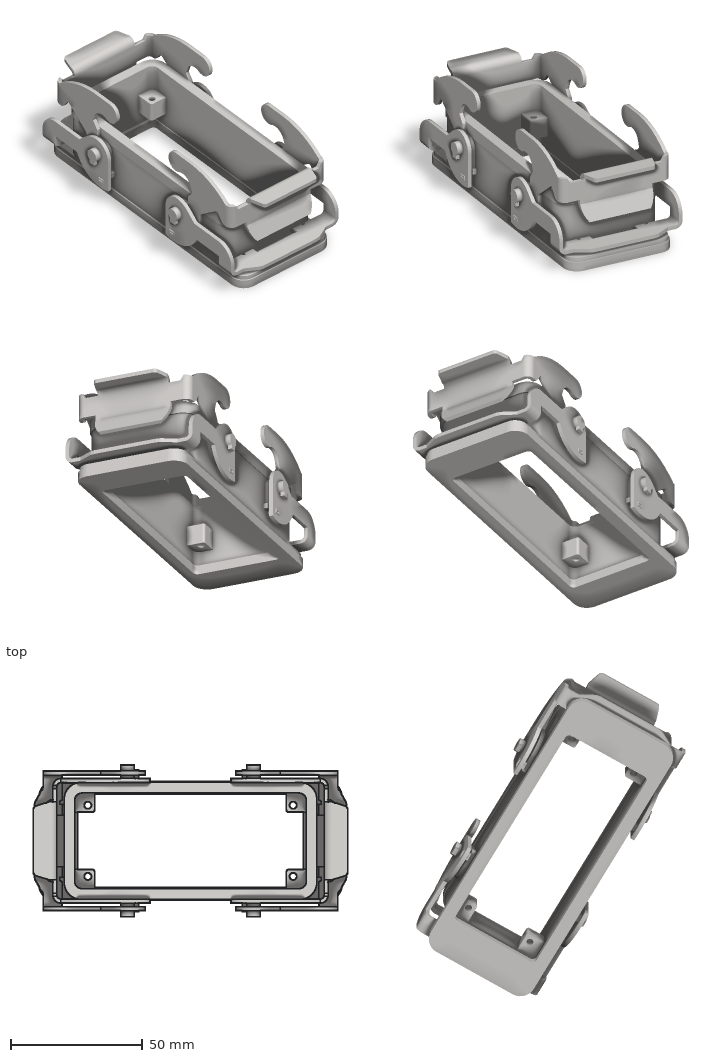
import cadquery as cq
import math

BASE_LENGTH, BASE_WIDTH, BASE_TOP, BASE_RADIUS = 115.4, 45.3, 3.7, 5.9
STEP_LENGTH, STEP_TOP, STEP_RADIUS = 114.2, 5.4, 5.2
BODY_LENGTH, BODY_WIDTH, BODY_RADIUS = 94.5, 44.0, 6.0
RIM_LENGTH, RIM_WIDTH, RIM_RADIUS = 96.2, 44.6, 6.4
RIM_BOTTOM, RIM_TOP = 24.1, 28.9
CAVITY_LENGTH, CAVITY_WIDTH, CAVITY_RADIUS = 88.3, 36.5, 2.9
FLOOR_LENGTH, FLOOR_WIDTH, FLOOR_RADIUS = 85.9, 35.5, 1.8

BLOCK_BOTTOM, BLOCK_TOP = 9.7, 17.6
BLOCK_INNER_X, BLOCK_INNER_Y, BLOCK_RADIUS = 36.5, 10.9, 1.0
BLOCK_EMBED = 0.6
SCREW_X, SCREW_Y, SCREW_DIAMETER = 39.1, 13.5, 2.6

SHEET = 1.5
BEND_RADIUS = 3.0
HOOK_OUTER_Y = 23.8
BAIL_OUTER_Y = 26.6
BAIL_INNER_Y = BAIL_OUTER_Y - SHEET

PIN_X, PIN_Z, PIN_DIAMETER = -24.0, 20.2, 5.3
PIN_END_Y = 58.0 / 2
KEY_WIDTH, KEY_BOTTOM = 2.6, 16.2

PANEL_X = -52.4
PANEL_INNER_X = PANEL_X + SHEET
PANEL_BOTTOM, PANEL_TOP, PANEL_CORNER_TOP = 27.4, 35.4, 37.4
PANEL_EDGE_Y, PANEL_SHOULDER_Y = 21.1, 19.9
HOOK_START_X = PANEL_X + BEND_RADIUS
HOOK_TOP = 45.0
BACK_MID, BACK_END_X = (-40.3, 42.7), -28.8
TIP_X, TIP_RADIUS = -19.7, 4.3
THROAT_START, THROAT_MID, THROAT_END = (-21.1, 36.6), (-25.4, 37.2), (-28.7, 34.0)
THROAT_CORNER = (-29.5, 31.5)
NECK_TOP = 28.2
NECK_X, SHANK_X = -27.0, -33.5
HUB_RADIUS = 4.1
HUB_EDGE_X = PIN_X + HUB_RADIUS
FOOT_X, FOOT_BOTTOM, FOOT_TOP = -18.5, 10.3, 12.4
HEEL_X, HEEL_MID = -25.8, (-31.5, 13.9)
SHANK_TOP, SHANK_CHAMFER = 23.2, 1.1
NOTCH_X, NOTCH_TOP, NOTCH_SIDE_Z, NOTCH_HALF_WIDTH = -44.1, 31.4, 31.2, 0.54
NOTCH_FOOT, NOTCH_FOOT_X = (-47.3, 27.8), -48.2
HANDLE_END_X, HANDLE_TOP = -60.0, 38.6
HANDLE_END_Y, HANDLE_ROOT_Y = 13.0, 14.9
HANDLE_CORNER_RADIUS = 1.5
LIP_TOP, LIP_KNEE, LIP_BOTTOM = 27.6, 25.4, 18.0
LIP_END_X, LIP_INNER_END_X, LIP_EDGE_RISE = -55.7, -54.3, 0.7
LIP_ROOT_Y, LIP_END_Y = 15.7, 12.6
LIP_SIDE_Y, LIP_SIDE_Z = 14.3, 20.2

ARM_OUTER_X, ARM_INNER_X = -56.1, -49.0
ARM_BOTTOM, ARM_TOP = 14.0, 21.0
ARM_BEND_RADIUS = 7.7
HEAD_RADIUS = 6.8
HEAD_ROOT_X, HEAD_RISE, HEAD_SHOULDER = -34.2, (-30.5, 24.2), (-27.6, 26.2)
HEAD_CORNER_Z, HEAD_BELLY, BELLY_END_X = 6.0, (-27.5, 6.4), -35.6
HEAD_EDGE_X = PIN_X + HEAD_RADIUS
BAIL_PLATE_BOTTOM = 7.8
BAIL_PLATE_TOP = BAIL_PLATE_BOTTOM + SHEET
BAIL_PLATE_END_X = -59.6
BRIDGE_SIDE_Y, BRIDGE_CORNER, BRIDGE_END_Y = 20.4, (-59.3, 14.8), 13.0
RECESS_X = -51.6
TAB_INNER_Y, TAB_OUTER_Y, TAB_BOTTOM = 9.8, 13.9, 6.8
TAB_THICKNESS = 1.1
RELIEF_DEPTH, RELIEF_WIDTH, RELIEF_MOUTH = 1.0, 1.1, 1.7
STOP_X, STOP_Z = -21.1, 9.0
STOP_LENGTH, STOP_HEIGHT, STOP_WALL, STOP_PROUD = 2.9, 1.7, 0.5, 0.4


def rounded_box(length, width, radius, bottom, top):
    """Upright box centred on Z with rounded vertical edges."""
    box = cq.Workplane("XY").workplane(offset=bottom).rect(length, width).extrude(top - bottom)
    return box.edges("|Z").fillet(radius)


def block(x_range, y_range, z_range):
    """Box given by its limits along each axis."""
    sizes = [high - low for low, high in (x_range, y_range, z_range)]
    return cq.Workplane("XY").box(*sizes, centered=False).translate((x_range[0], y_range[0], z_range[0]))


def both_sides(shape):
    """Shape joined with its copy mirrored across the XZ plane."""
    return shape.union(shape.mirror("XZ"))


def side_sheet(outline, outer_y):
    """Extrude an XZ outline into one sheet whose outer face is at -outer_y."""
    return outline.extrude(SHEET).translate((0, SHEET - outer_y, 0))


def make_housing():
    """Stepped frame with an open cavity, a narrow floor ledge and four screw blocks."""
    housing = rounded_box(BASE_LENGTH, BASE_WIDTH, BASE_RADIUS, 0, BASE_TOP)
    housing = housing.union(rounded_box(STEP_LENGTH, BODY_WIDTH, STEP_RADIUS, BASE_TOP, STEP_TOP))
    housing = housing.union(rounded_box(BODY_LENGTH, BODY_WIDTH, BODY_RADIUS, STEP_TOP, RIM_BOTTOM))
    housing = housing.union(rounded_box(RIM_LENGTH, RIM_WIDTH, RIM_RADIUS, RIM_BOTTOM, RIM_TOP))
    housing = housing.cut(rounded_box(CAVITY_LENGTH, CAVITY_WIDTH, CAVITY_RADIUS, BASE_TOP, RIM_TOP))
    housing = housing.cut(rounded_box(FLOOR_LENGTH, FLOOR_WIDTH, FLOOR_RADIUS, 0, BASE_TOP))

    block_outer_x = CAVITY_LENGTH / 2 + BLOCK_EMBED
    block_outer_y = CAVITY_WIDTH / 2 + BLOCK_EMBED
    for side_x in (-1, 1):
        for side_y in (-1, 1):
            x_range = sorted((side_x * BLOCK_INNER_X, side_x * block_outer_x))
            y_range = sorted((side_y * BLOCK_INNER_Y, side_y * block_outer_y))
            screw_block = block(x_range, y_range, (BLOCK_BOTTOM, BLOCK_TOP))
            inner_edge = cq.selectors.NearestToPointSelector(
                (side_x * BLOCK_INNER_X, side_y * BLOCK_INNER_Y, (BLOCK_BOTTOM + BLOCK_TOP) / 2)
            )
            screw_block = screw_block.edges(inner_edge).fillet(BLOCK_RADIUS)
            screw_hole = (
                cq.Workplane("XY", origin=(side_x * SCREW_X, side_y * SCREW_Y, BLOCK_BOTTOM))
                .circle(SCREW_DIAMETER / 2)
                .extrude(BLOCK_TOP - BLOCK_BOTTOM)
            )
            housing = housing.union(screw_block.cut(screw_hole))
    return housing


def make_hook_plate():
    """Side plate of the hook lever: curved back, round hook tip, pivot hub and stop foot."""
    outline = (
        cq.Workplane("XZ")
        .moveTo(HOOK_START_X, PANEL_CORNER_TOP)
        .threePointArc(BACK_MID, (BACK_END_X, HOOK_TOP))
        .lineTo(TIP_X, HOOK_TOP)
        .threePointArc((TIP_X + TIP_RADIUS, HOOK_TOP - TIP_RADIUS), (TIP_X, HOOK_TOP - 2 * TIP_RADIUS))
        .lineTo(*THROAT_START)
        .threePointArc(THROAT_MID, THROAT_END)
        .lineTo(*THROAT_CORNER)
        .lineTo(NECK_X, NECK_TOP)
        .lineTo(NECK_X, PIN_Z + HUB_RADIUS)
        .lineTo(PIN_X, PIN_Z + HUB_RADIUS)
        .radiusArc((HUB_EDGE_X, PIN_Z), HUB_RADIUS)
        .lineTo(HUB_EDGE_X, FOOT_TOP)
        .lineTo(FOOT_X, FOOT_TOP)
        .lineTo(FOOT_X, FOOT_BOTTOM)
        .lineTo(HEEL_X, FOOT_BOTTOM)
        .threePointArc(HEEL_MID, (SHANK_X, PIN_Z))
        .lineTo(SHANK_X, SHANK_TOP)
        .lineTo(SHANK_X - SHANK_CHAMFER, SHANK_TOP + SHANK_CHAMFER)
        .lineTo(NOTCH_X + NOTCH_HALF_WIDTH, NOTCH_SIDE_Z)
        .threePointArc((NOTCH_X, NOTCH_TOP), (NOTCH_X - NOTCH_HALF_WIDTH, NOTCH_SIDE_Z))
        .lineTo(*NOTCH_FOOT)
        .lineTo(NOTCH_FOOT_X, PANEL_BOTTOM)
        .lineTo(HOOK_START_X, PANEL_BOTTOM)
        .close()
    )
    return side_sheet(outline, HOOK_OUTER_Y)


def make_hook_panel():
    """End panel of the hook lever with rounded vertical bends into the side plates."""
    width = 2 * HOOK_OUTER_Y
    length = 4 * BEND_RADIUS
    outer = block((PANEL_X, PANEL_X + length), (-width / 2, width / 2), (0, HOOK_TOP))
    outer = outer.edges("|Z and <X").fillet(BEND_RADIUS)
    inner = block(
        (PANEL_INNER_X, PANEL_INNER_X + length), (SHEET - width / 2, width / 2 - SHEET), (0, HOOK_TOP)
    )
    inner = inner.edges("|Z and <X").fillet(BEND_RADIUS - SHEET)
    face = (
        cq.Workplane("YZ", origin=(PANEL_X, 0, 0))
        .polyline(
            [
                (-HOOK_OUTER_Y, PANEL_BOTTOM),
                (HOOK_OUTER_Y, PANEL_BOTTOM),
                (HOOK_OUTER_Y, PANEL_CORNER_TOP),
                (PANEL_EDGE_Y, PANEL_CORNER_TOP),
                (PANEL_SHOULDER_Y, PANEL_TOP),
                (-PANEL_SHOULDER_Y, PANEL_TOP),
                (-PANEL_EDGE_Y, PANEL_CORNER_TOP),
                (-HOOK_OUTER_Y, PANEL_CORNER_TOP),
            ]
        )
        .close()
        .extrude(BEND_RADIUS)
    )
    return outer.cut(inner).intersect(face)


def make_handle():
    """Finger tab bent outward from the top edge of the end panel."""
    bend_x = PANEL_INNER_X - BEND_RADIUS
    bend_z = HANDLE_TOP - BEND_RADIUS
    inner_radius = BEND_RADIUS - SHEET
    outer_offset = BEND_RADIUS * math.sqrt(0.5)
    inner_offset = inner_radius * math.sqrt(0.5)
    profile = (
        cq.Workplane("XZ")
        .moveTo(HANDLE_END_X, HANDLE_TOP)
        .lineTo(bend_x, HANDLE_TOP)
        .threePointArc((bend_x + outer_offset, bend_z + outer_offset), (PANEL_INNER_X, bend_z))
        .lineTo(PANEL_INNER_X, PANEL_BOTTOM)
        .lineTo(PANEL_X, PANEL_BOTTOM)
        .lineTo(PANEL_X, bend_z)
        .threePointArc((bend_x + inner_offset, bend_z + inner_offset), (bend_x, HANDLE_TOP - SHEET))
        .lineTo(HANDLE_END_X, HANDLE_TOP - SHEET)
        .close()
        .extrude(HANDLE_ROOT_Y, both=True)
    )
    plan = (
        cq.Workplane("XY")
        .polyline(
            [
                (HANDLE_END_X, -HANDLE_END_Y),
                (bend_x, -HANDLE_ROOT_Y),
                (PANEL_INNER_X, -HANDLE_ROOT_Y),
                (PANEL_INNER_X, HANDLE_ROOT_Y),
                (bend_x, HANDLE_ROOT_Y),
                (HANDLE_END_X, HANDLE_END_Y),
            ]
        )
        .close()
        .extrude(HANDLE_TOP)
        .edges("|Z and <X")
        .fillet(HANDLE_CORNER_RADIUS)
    )
    return profile.intersect(plan)


def make_lip():
    """Spring lip slanting outward below the end panel, narrowing to its free edge."""
    profile = (
        cq.Workplane("XZ")
        .polyline(
            [
                (PANEL_X, LIP_TOP),
                (PANEL_INNER_X, LIP_TOP),
                (PANEL_INNER_X, LIP_KNEE),
                (LIP_INNER_END_X, LIP_BOTTOM),
                (LIP_END_X, LIP_BOTTOM + LIP_EDGE_RISE),
                (PANEL_X, LIP_KNEE),
            ]
        )
        .close()
        .extrude(LIP_ROOT_Y, both=True)
    )
    face = (
        cq.Workplane("YZ", origin=(HANDLE_END_X, 0, 0))
        .moveTo(-LIP_ROOT_Y, LIP_TOP)
        .lineTo(LIP_ROOT_Y, LIP_TOP)
        .lineTo(LIP_ROOT_Y, LIP_KNEE)
        .threePointArc((LIP_SIDE_Y, LIP_SIDE_Z), (LIP_END_Y, LIP_BOTTOM))
        .lineTo(-LIP_END_Y, LIP_BOTTOM)
        .threePointArc((-LIP_SIDE_Y, LIP_SIDE_Z), (-LIP_ROOT_Y, LIP_KNEE))
        .close()
        .extrude(PANEL_INNER_X - HANDLE_END_X)
    )
    return profile.intersect(face)


def make_bail_plate():
    """Side plate of the locking bail: pivot head and an arm that turns down at its end."""
    outline = (
        cq.Workplane("XZ")
        .moveTo(ARM_OUTER_X, BAIL_PLATE_BOTTOM + BEND_RADIUS)
        .lineTo(ARM_OUTER_X, ARM_TOP - ARM_BEND_RADIUS)
        .radiusArc((ARM_OUTER_X + ARM_BEND_RADIUS, ARM_TOP), ARM_BEND_RADIUS)
        .lineTo(HEAD_ROOT_X, ARM_TOP)
        .lineTo(*HEAD_RISE)
        .threePointArc(HEAD_SHOULDER, (PIN_X, PIN_Z + HEAD_RADIUS))
        .radiusArc((HEAD_EDGE_X, PIN_Z), HEAD_RADIUS)
        .lineTo(HEAD_EDGE_X, HEAD_CORNER_Z)
        .threePointArc(HEAD_BELLY, (BELLY_END_X, ARM_BOTTOM))
        .lineTo(ARM_INNER_X, ARM_BOTTOM)
        .lineTo(ARM_INNER_X, BAIL_PLATE_BOTTOM + BEND_RADIUS)
        .close()
    )
    return side_sheet(outline, BAIL_OUTER_Y)


def make_bail_bridge():
    """Flat bridge joining the two bail arms, bent up at both ends."""
    x_range = (BAIL_PLATE_END_X, ARM_INNER_X)
    height_top = BAIL_PLATE_BOTTOM + BEND_RADIUS
    outer = block(x_range, (-BAIL_OUTER_Y, BAIL_OUTER_Y), (BAIL_PLATE_BOTTOM, height_top + BEND_RADIUS))
    inner = block(x_range, (-BAIL_INNER_Y, BAIL_INNER_Y), (BAIL_PLATE_TOP, height_top + BEND_RADIUS))
    outer = outer.edges("|X and <Z").fillet(BEND_RADIUS)
    inner = inner.edges("|X and <Z").fillet(BEND_RADIUS - SHEET)
    half_plan = (
        cq.Workplane("XY")
        .polyline(
            [
                (ARM_INNER_X, BAIL_OUTER_Y),
                (ARM_OUTER_X, BAIL_OUTER_Y),
                (ARM_OUTER_X, BRIDGE_SIDE_Y),
                BRIDGE_CORNER,
                (BAIL_PLATE_END_X, BRIDGE_END_Y),
                (BAIL_PLATE_END_X, 0),
                (RECESS_X, 0),
                (RECESS_X, TAB_INNER_Y),
                (ARM_INNER_X, TAB_INNER_Y),
                (ARM_INNER_X, TAB_OUTER_Y),
                (ARM_INNER_X - RELIEF_DEPTH, TAB_OUTER_Y),
                (ARM_INNER_X - RELIEF_DEPTH, TAB_OUTER_Y + RELIEF_WIDTH),
                (ARM_INNER_X, TAB_OUTER_Y + RELIEF_MOUTH),
            ]
        )
        .close()
        .extrude(height_top)
    )
    return outer.cut(inner).intersect(both_sides(half_plan))


def make_bail_tab():
    """Tab at the bridge's inner edge, bent down against the end wall of the housing."""
    wall_x = -BODY_LENGTH / 2
    profile = (
        cq.Workplane("XZ")
        .moveTo(ARM_INNER_X, BAIL_PLATE_TOP)
        .lineTo(ARM_INNER_X, BAIL_PLATE_BOTTOM)
        .lineTo(wall_x - TAB_THICKNESS, TAB_BOTTOM)
        .lineTo(wall_x, TAB_BOTTOM)
        .lineTo(wall_x, BAIL_PLATE_BOTTOM)
        .close()
        .extrude(TAB_OUTER_Y - TAB_INNER_Y)
    )
    return profile.translate((0, -TAB_INNER_Y, 0))


def make_stop():
    """Small stop block through the bail head, with a shallow pocket in its outer face."""
    x_range = (STOP_X - STOP_LENGTH / 2, STOP_X + STOP_LENGTH / 2)
    z_range = (STOP_Z - STOP_HEIGHT / 2, STOP_Z + STOP_HEIGHT / 2)
    outer_y = BAIL_OUTER_Y + STOP_PROUD
    stop = block(x_range, (-outer_y, -HOOK_OUTER_Y), z_range)
    pocket = block(
        (x_range[0] + STOP_WALL, x_range[1] - STOP_WALL),
        (-outer_y, -BAIL_OUTER_Y),
        (z_range[0] + STOP_WALL, z_range[1] - STOP_WALL),
    )
    return stop.cut(pocket)


def make_pin():
    """Pivot pin from the housing wall through both levers, with a key under its head."""
    wall_y = BODY_WIDTH / 2
    pin = (
        cq.Workplane("XZ", origin=(PIN_X, -wall_y, PIN_Z))
        .circle(PIN_DIAMETER / 2)
        .extrude(PIN_END_Y - wall_y)
    )
    key = block(
        (PIN_X - KEY_WIDTH / 2, PIN_X + KEY_WIDTH / 2),
        (-PIN_END_Y, SHEET - PIN_END_Y),
        (KEY_BOTTOM, PIN_Z),
    )
    return pin.union(key)


def make_lever_set():
    """Hook lever, locking bail and pins at the -X end."""
    one_side = make_hook_plate()
    for piece in (make_bail_plate(), make_bail_tab(), make_stop(), make_pin()):
        one_side = one_side.union(piece)
    levers = both_sides(one_side)
    for piece in (make_hook_panel(), make_handle(), make_lip(), make_bail_bridge()):
        levers = levers.union(piece)
    return levers


lever_set = make_lever_set()
result = make_housing().union(lever_set).union(lever_set.mirror("YZ"))